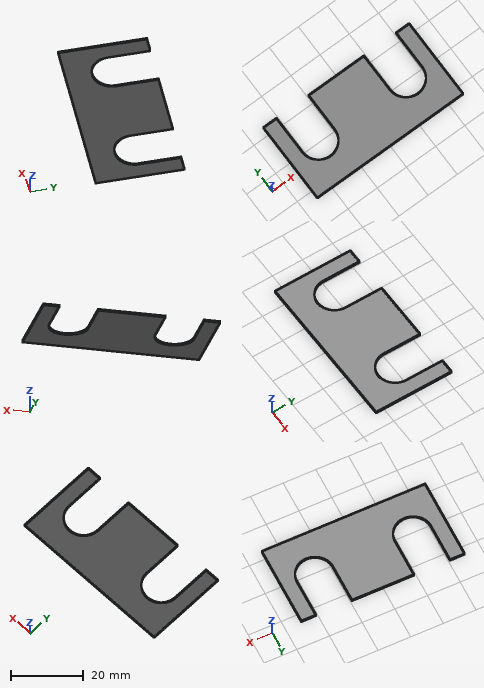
import cadquery as cq

length = 50.0
width = 25.0
thickness = 0.5

slot_width = 11.0
slot_spacing = 30.0
web_below_slot = 7.5

slot_radius = slot_width / 2
back_edge = width / 2
arc_center_y = -width / 2 + web_below_slot + slot_radius


def open_slot(center_x):
    """Cutter for one slot: straight sides from the +Y edge, ending in a half circle."""
    left = center_x - slot_radius
    right = center_x + slot_radius
    return (
        cq.Workplane("XY")
        .moveTo(left, back_edge)
        .lineTo(left, arc_center_y)
        .threePointArc((center_x, arc_center_y - slot_radius), (right, arc_center_y))
        .lineTo(right, back_edge)
        .close()
        .extrude(thickness)
    )


result = cq.Workplane("XY").box(length, width, thickness, centered=(True, True, False))
for side in (-1, 1):
    result = result.cut(open_slot(side * slot_spacing / 2))